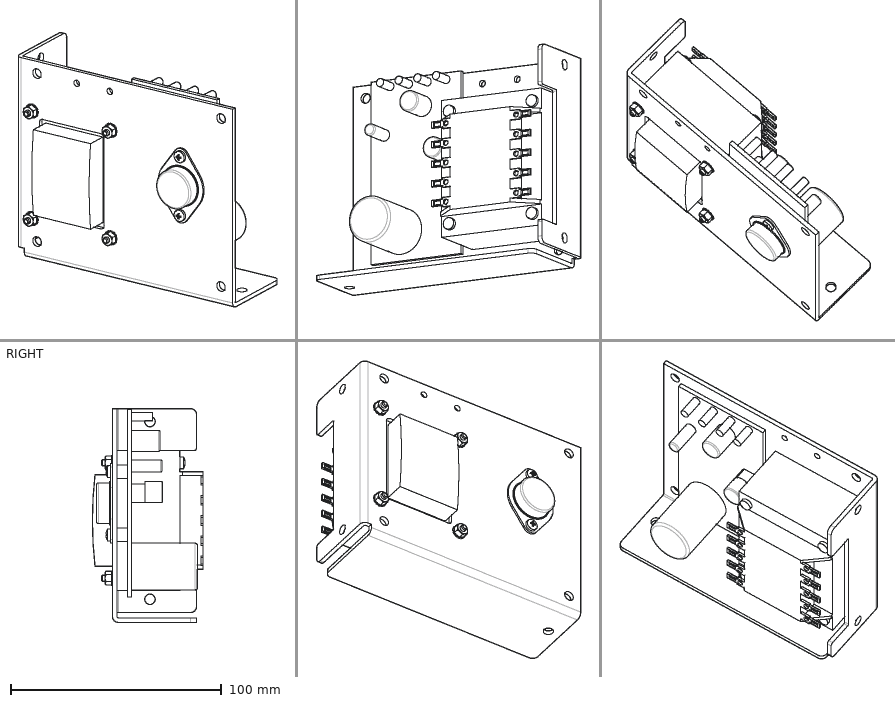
import cadquery as cq
import math


WIDTH = 123.8
HEIGHT = 101.5
FLANGE_DEPTH = 40.0
SHEET = 2.2
BEND_OUTER_RADIUS = 2.8
BEND_INNER_RADIUS = BEND_OUTER_RADIUS - SHEET
CORNER_RELIEF = 4.7
FLANGE_CORNER_RADIUS = 3.0
MOUNT_HOLE = 4.8
MOUNT_HOLE_LEFT_X = 12.0
MOUNT_HOLE_RIGHT_X = 117.1
MOUNT_HOLE_LOW_Z = 9.8
MOUNT_HOLE_HIGH_Z = 95.3
FLANGE_HOLE_Y = 17.8
SIDE_HOLE_LOW_Z = 11.0
SMALL_HOLE = 3.1
SMALL_HOLE_XS = (34.7, 53.6)
SIDE_NOTCH_LOW_Z = 16.0
SIDE_NOTCH_HIGH_Z = 81.6
SIDE_NOTCH_FLOOR_Y = 25.6
SIDE_NOTCH_FLOOR_RADIUS = 0.6
SIDE_NOTCH_MOUTH_RADIUS = 1.2

TRANSFORMER_X = 31.8
TRANSFORMER_Z = 48.4
CORE_WIDTH = 54.2
CORE_HEIGHT = 66.6
CORE_BACK_Y = 32.1
WINDING_WIDTH = 32.7
WINDING_HEIGHT = 43.6
WINDING_SIDE_FRONT_Y = -8.3
WINDING_CROWN_FRONT_Y = -9.5
BOBBIN_BACK_Y = 43.1
BOBBIN_SHOULDER_Y = 33.3
BOBBIN_HEIGHT = 46.4
BOBBIN_FLANGE = 2.0
WINDOW_WIDTH = 37.0
WINDOW_HEIGHT = 48.5
WINDOW_RADIUS = 2.0

TAG_COUNT = 5
TAG_PITCH = 9.5
TAG_THICKNESS = 1.1
TAG_ROOT_WIDTH = 4.6
TAG_TIP_WIDTH = 3.0
TAG_TIP_LENGTH = 6.0
TAG_LEFT_END_X = 4.7
TAG_RIGHT_END_X = 58.3
TAG_ROOT_HOLE = 2.5
TAG_ROOT_HOLE_OFFSET = 1.7
TAG_SLOT_LENGTH = 3.7
TAG_SLOT_WIDTH = 2.0

SCREW_PITCH_X = 45.1
SCREW_PITCH_Z = 54.7
SCREW_DIAMETER = 3.0
SCREW_CLEARANCE = 3.3
SCREW_END_Y = -5.2
SCREW_END_CHAMFER = 0.5
HEAD_DIAMETER = 5.7
HEAD_HEIGHT = 2.5
HEAD_DOME_HEIGHT = 0.9
WASHER_DISC = 6.3
WASHER_OUTSIDE = 6.9
WASHER_THICKNESS = 0.5
WASHER_TEETH = 12
TOOTH_WIDTH = 0.9
NUT_FLATS = 5.7
NUT_CORNERS = NUT_FLATS / math.cos(math.pi / 6)
NUT_THICKNESS = 3.0
NUT_CHAMFER = 0.5

TRANSISTOR_X = 94.7
TRANSISTOR_Z = 56.6
TRANSISTOR_SCREW_PITCH = 30.0
TRANSISTOR_BASE_RADIUS = 12.8
TRANSISTOR_LUG_RADIUS = 4.0
TRANSISTOR_BASE_THICKNESS = 1.0
CAN_DIAMETER = 19.5
CAN_FRONT_Y = -7.4
CAN_ROUNDING = 0.7
CAN_RIM_DIAMETER = 20.4
CAN_RIM_FRONT_Y = -1.5
TRANSISTOR_HEAD_HEIGHT = 2.1
RECESS_LENGTH = 2.7
RECESS_WIDTH = 0.6
RECESS_DEPTH = 0.9

BOARD_LEFT_X = 61.3
BOARD_RIGHT_X = 110.2
BOARD_TOP_Z = 101.0
BOARD_BOTTOM_Z = 2 * TRANSISTOR_Z - BOARD_TOP_Z
BOARD_FRONT_Y = 7.0
BOARD_BACK_Y = 9.2
SPACER_DIAMETER = 6.3
PIN_DIAMETER = 4.0
PIN_COUNT = 4
PIN_FIRST_X = 69.3
PIN_PITCH = 10.2
PIN_Z = 97.7
PIN_BACK_Y = 19.1
LARGE_CAPACITOR_DIAMETER = 22.3
LARGE_CAPACITOR_X = 93.9
LARGE_CAPACITOR_Z = 26.5
LARGE_CAPACITOR_BACK_Y = 40.4
LARGE_CAPACITOR_ROUNDING = 1.1
MEDIUM_CAPACITOR_DIAMETER = 10.0
MEDIUM_CAPACITOR_X = 82.3
MEDIUM_CAPACITOR_Z = 86.2
MEDIUM_CAPACITOR_BACK_Y = 22.5
SMALL_CAPACITOR_DIAMETER = 5.7
SMALL_CAPACITOR_X = 103.0
SMALL_CAPACITOR_Z = 74.3
SMALL_CAPACITOR_BACK_Y = 23.5
CAPACITOR_ROUNDING = 0.6
TRIMMER_DIAMETER = 10.0
TRIMMER_X = 68.8
TRIMMER_Z = 61.9
TRIMMER_BACK_Y = 23.8
TRIMMER_ROUNDING = 0.5
TRIMMER_BASE_DIAMETER = 9.9
TRIMMER_FLAT_WIDTH = 6.3
TRIMMER_BASE_BACK_Y = 15.5


def box(x0, x1, y0, y1, z0, z1):
    """A box between two x, two y and two z positions."""
    return cq.Workplane("XY").box(x1 - x0, y1 - y0, z1 - z0, centered=False).translate((x0, y0, z0))


def plate_plane(y):
    """A workplane parallel to the plate; its x and y are X and Z, and a negative extrusion goes to +Y."""
    return cq.Workplane("XZ", origin=(0, y, 0))


def rods(points, diameter, front_y, back_y):
    """Cylinders along Y at (x, z) points."""
    return plate_plane(front_y).pushPoints(points).circle(diameter / 2).extrude(front_y - back_y)


def domed_head(height):
    """A round screw head standing along +Y from the origin, ending in a dome."""
    radius = HEAD_DIAMETER / 2
    shoulder = height - HEAD_DOME_HEIGHT
    dome_radius = (radius**2 + HEAD_DOME_HEIGHT**2) / (2 * HEAD_DOME_HEIGHT)
    return (
        cq.Workplane("XY")
        .lineTo(radius, 0)
        .lineTo(radius, shoulder)
        .radiusArc((0, height), -dome_radius)
        .close()
        .revolve(360, (0, 0, 0), (0, 1, 0))
    )


def screw_grid(centre_x, centre_z, pitch_x, pitch_z):
    """The four (x, z) corners of a rectangle."""
    return [
        (centre_x + side * pitch_x / 2, centre_z + level * pitch_z / 2)
        for side in (-1, 1)
        for level in (-1, 1)
    ]


TRANSFORMER_SCREWS = screw_grid(TRANSFORMER_X, TRANSFORMER_Z, SCREW_PITCH_X, SCREW_PITCH_Z)
TRANSISTOR_SCREWS = [
    (TRANSISTOR_X, TRANSISTOR_Z + side * TRANSISTOR_SCREW_PITCH / 2) for side in (-1, 1)
]




def bent_sheet(plane, plate_end, length):
    """A plate bent into a flange along +Y; the plane's x runs along the plate and its y is Y."""
    return (
        cq.Workplane(plane)
        .moveTo(plate_end, 0)
        .lineTo(BEND_OUTER_RADIUS, 0)
        .radiusArc((0, BEND_OUTER_RADIUS), BEND_OUTER_RADIUS)
        .lineTo(0, FLANGE_DEPTH)
        .lineTo(SHEET, FLANGE_DEPTH)
        .lineTo(SHEET, BEND_OUTER_RADIUS)
        .radiusArc((BEND_OUTER_RADIUS, SHEET), -BEND_INNER_RADIUS)
        .lineTo(plate_end, SHEET)
        .close()
        .extrude(length)
    )


def side_flange_sheet():
    """The plate with its left flange, which is notched from the back beside the transformer."""
    sheet = bent_sheet(cq.Plane((0, 0, CORNER_RELIEF), (1, 0, 0), (0, 0, 1)), WIDTH, HEIGHT - CORNER_RELIEF)
    notch = box(0, BEND_OUTER_RADIUS, SIDE_NOTCH_FLOOR_Y, FLANGE_DEPTH, SIDE_NOTCH_LOW_Z, SIDE_NOTCH_HIGH_Z)
    sheet = sheet.cut(notch.edges("|X and <Y").fillet(SIDE_NOTCH_FLOOR_RADIUS))
    sheet = sheet.edges("|X and >Y").edges("not(<Z or >Z)").fillet(SIDE_NOTCH_MOUTH_RADIUS)
    sheet = sheet.edges("|X and >Y").edges("<Z or >Z").fillet(FLANGE_CORNER_RADIUS)
    for z in (SIDE_HOLE_LOW_Z, MOUNT_HOLE_HIGH_Z):
        hole = cq.Workplane("YZ").center(FLANGE_HOLE_Y, z).circle(MOUNT_HOLE / 2).extrude(SHEET)
        sheet = sheet.cut(hole)
    return sheet


def bottom_flange_sheet():
    """The plate with its bottom flange."""
    sheet = bent_sheet(cq.Plane((WIDTH, 0, 0), (0, 0, 1), (-1, 0, 0)), HEIGHT, WIDTH - CORNER_RELIEF)
    sheet = sheet.edges("|Z and >Y").fillet(FLANGE_CORNER_RADIUS)
    hole = cq.Workplane("XY").center(MOUNT_HOLE_RIGHT_X, FLANGE_HOLE_Y).circle(MOUNT_HOLE / 2).extrude(SHEET)
    return sheet.cut(hole)


def winding_window():
    window = box(
        TRANSFORMER_X - WINDOW_WIDTH / 2,
        TRANSFORMER_X + WINDOW_WIDTH / 2,
        0,
        SHEET,
        TRANSFORMER_Z - WINDOW_HEIGHT / 2,
        TRANSFORMER_Z + WINDOW_HEIGHT / 2,
    )
    return window.edges("|Y").fillet(WINDOW_RADIUS)


def sheet_metal():
    """Both bent sheets share one plate, less a square relief where the two bends would meet."""
    mount_holes = [
        (x, z) for x in (MOUNT_HOLE_LEFT_X, MOUNT_HOLE_RIGHT_X) for z in (MOUNT_HOLE_LOW_Z, MOUNT_HOLE_HIGH_Z)
    ]
    small_holes = [(x, MOUNT_HOLE_HIGH_Z) for x in SMALL_HOLE_XS]
    return (
        side_flange_sheet()
        .union(bottom_flange_sheet())
        .cut(rods(mount_holes, MOUNT_HOLE, 0, SHEET))
        .cut(rods(small_holes, SMALL_HOLE, 0, SHEET))
        .cut(rods(TRANSFORMER_SCREWS, SCREW_CLEARANCE, 0, SHEET))
        .cut(winding_window())
    )


def transistor_base():
    """A round base drawn out to a lug at each screw, with sides tangent to both rounds."""
    reach = TRANSISTOR_SCREW_PITCH / 2
    sine = (TRANSISTOR_BASE_RADIUS - TRANSISTOR_LUG_RADIUS) / reach
    cosine = math.sqrt(1 - sine**2)
    base_x, base_z = TRANSISTOR_BASE_RADIUS * cosine, TRANSISTOR_BASE_RADIUS * sine
    lug_x, lug_z = TRANSISTOR_LUG_RADIUS * cosine, reach + TRANSISTOR_LUG_RADIUS * sine
    lug_tip = reach + TRANSISTOR_LUG_RADIUS
    return (
        cq.Workplane("XZ", origin=(TRANSISTOR_X, 0, TRANSISTOR_Z))
        .moveTo(base_x, -base_z)
        .threePointArc((TRANSISTOR_BASE_RADIUS, 0), (base_x, base_z))
        .lineTo(lug_x, lug_z)
        .threePointArc((0, lug_tip), (-lug_x, lug_z))
        .lineTo(-base_x, base_z)
        .threePointArc((-TRANSISTOR_BASE_RADIUS, 0), (-base_x, -base_z))
        .lineTo(-lug_x, -lug_z)
        .threePointArc((0, -lug_tip), (lug_x, -lug_z))
        .close()
        .extrude(TRANSISTOR_BASE_THICKNESS)
    )


def transistor_screw_head():
    """A domed head with a cross recess, facing forward from the transistor's base."""
    head = domed_head(TRANSISTOR_HEAD_HEIGHT).rotate((0, 0, 0), (0, 0, 1), 180)
    recess_plane = plate_plane(-TRANSISTOR_HEAD_HEIGHT)
    for size in ((RECESS_LENGTH, RECESS_WIDTH), (RECESS_WIDTH, RECESS_LENGTH)):
        head = head.cut(recess_plane.rect(*size).extrude(-RECESS_DEPTH))
    return head


def transistor():
    centre = [(TRANSISTOR_X, TRANSISTOR_Z)]
    can = rods(centre, CAN_DIAMETER, CAN_FRONT_Y, 0).faces("<Y").edges().fillet(CAN_ROUNDING)
    rim = rods(centre, CAN_RIM_DIAMETER, CAN_RIM_FRONT_Y, 0)
    body = transistor_base().union(rim).union(can)
    for x, z in TRANSISTOR_SCREWS:
        body = body.union(transistor_screw_head().translate((x, -TRANSISTOR_BASE_THICKNESS, z)))
    return body


def board_component(x, z, diameter, back_y, rounding):
    """An upright cylinder on the board with a rounded end."""
    return rods([(x, z)], diameter, BOARD_BACK_Y, back_y).faces(">Y").edges().fillet(rounding)


def trimmer():
    """A round trimmer on a slightly narrower base, which has a flat on its upper side."""
    radius = TRIMMER_BASE_DIAMETER / 2
    flat_height = math.sqrt(radius**2 - (TRIMMER_FLAT_WIDTH / 2) ** 2)
    base = rods([(TRIMMER_X, TRIMMER_Z)], TRIMMER_BASE_DIAMETER, BOARD_BACK_Y, TRIMMER_BASE_BACK_Y)
    above_flat = box(
        TRIMMER_X - radius,
        TRIMMER_X + radius,
        BOARD_BACK_Y,
        TRIMMER_BASE_BACK_Y,
        TRIMMER_Z + flat_height,
        TRIMMER_Z + radius,
    )
    top = rods([(TRIMMER_X, TRIMMER_Z)], TRIMMER_DIAMETER, TRIMMER_BASE_BACK_Y, TRIMMER_BACK_Y)
    return base.cut(above_flat).union(top.faces(">Y").edges().fillet(TRIMMER_ROUNDING))


def circuit_board():
    """The board on two spacers behind the transistor's screws, with its pins and components."""
    board = box(BOARD_LEFT_X, BOARD_RIGHT_X, BOARD_FRONT_Y, BOARD_BACK_Y, BOARD_BOTTOM_Z, BOARD_TOP_Z)
    pins = [(PIN_FIRST_X + i * PIN_PITCH, PIN_Z) for i in range(PIN_COUNT)]
    large_capacitor = board_component(
        LARGE_CAPACITOR_X,
        LARGE_CAPACITOR_Z,
        LARGE_CAPACITOR_DIAMETER,
        LARGE_CAPACITOR_BACK_Y,
        LARGE_CAPACITOR_ROUNDING,
    )
    medium_capacitor = board_component(
        MEDIUM_CAPACITOR_X,
        MEDIUM_CAPACITOR_Z,
        MEDIUM_CAPACITOR_DIAMETER,
        MEDIUM_CAPACITOR_BACK_Y,
        CAPACITOR_ROUNDING,
    )
    small_capacitor = board_component(
        SMALL_CAPACITOR_X,
        SMALL_CAPACITOR_Z,
        SMALL_CAPACITOR_DIAMETER,
        SMALL_CAPACITOR_BACK_Y,
        CAPACITOR_ROUNDING,
    )
    return (
        board.union(rods(TRANSISTOR_SCREWS, SPACER_DIAMETER, SHEET, BOARD_FRONT_Y))
        .union(rods(pins, PIN_DIAMETER, BOARD_BACK_Y, PIN_BACK_Y))
        .union(large_capacitor)
        .union(medium_capacitor)
        .union(small_capacitor)
        .union(trimmer())
    )


def make_chassis():
    """The bent plate with the transistor on its front and the circuit board behind it."""
    return sheet_metal().union(transistor()).union(circuit_board())




def core():
    return box(
        TRANSFORMER_X - CORE_WIDTH / 2,
        TRANSFORMER_X + CORE_WIDTH / 2,
        SHEET,
        CORE_BACK_Y,
        TRANSFORMER_Z - CORE_HEIGHT / 2,
        TRANSFORMER_Z + CORE_HEIGHT / 2,
    )


def winding():
    """The wound block through the core; its front end is crowned to an arc."""
    half_height = WINDING_HEIGHT / 2
    return (
        cq.Workplane("YZ", origin=(TRANSFORMER_X - WINDING_WIDTH / 2, 0, TRANSFORMER_Z))
        .moveTo(BOBBIN_BACK_Y, -half_height)
        .lineTo(WINDING_SIDE_FRONT_Y, -half_height)
        .threePointArc((WINDING_CROWN_FRONT_Y, 0), (WINDING_SIDE_FRONT_Y, half_height))
        .lineTo(BOBBIN_BACK_Y, half_height)
        .close()
        .extrude(WINDING_WIDTH)
    )


def bobbin_flanges():
    """The two end flanges of the bobbin behind the core, with sides sloping in to the winding's width."""
    flange = (
        cq.Workplane("XY", origin=(TRANSFORMER_X, 0, 0))
        .moveTo(-CORE_WIDTH / 2, CORE_BACK_Y)
        .lineTo(-CORE_WIDTH / 2, BOBBIN_SHOULDER_Y)
        .lineTo(-WINDING_WIDTH / 2, BOBBIN_BACK_Y)
        .lineTo(WINDING_WIDTH / 2, BOBBIN_BACK_Y)
        .lineTo(CORE_WIDTH / 2, BOBBIN_SHOULDER_Y)
        .lineTo(CORE_WIDTH / 2, CORE_BACK_Y)
        .close()
        .extrude(BOBBIN_FLANGE)
    )
    low_z = TRANSFORMER_Z - BOBBIN_HEIGHT / 2
    high_z = TRANSFORMER_Z + BOBBIN_HEIGHT / 2 - BOBBIN_FLANGE
    return flange.translate((0, 0, low_z)).union(flange.translate((0, 0, high_z)))


def solder_tag(end_x, side, z):
    """A flat tag flush with the bobbin's back: a wide root with a round hole, a narrow slotted tip."""
    root_x = TRANSFORMER_X + side * WINDING_WIDTH / 2
    step_x = end_x - side * TAG_TIP_LENGTH
    front_y = BOBBIN_BACK_Y - TAG_THICKNESS
    root_plane = plate_plane(front_y).center((root_x + step_x) / 2, z)
    root = root_plane.rect(abs(step_x - root_x), TAG_ROOT_WIDTH).extrude(-TAG_THICKNESS)
    tip_plane = plate_plane(front_y).center((step_x + end_x) / 2, z)
    tip = tip_plane.rect(TAG_TIP_LENGTH, TAG_TIP_WIDTH).extrude(-TAG_THICKNESS)
    slot = tip_plane.rect(TAG_SLOT_LENGTH, TAG_SLOT_WIDTH).extrude(-TAG_THICKNESS)
    hole_x = step_x - side * TAG_ROOT_HOLE_OFFSET
    hole = rods([(hole_x, z)], TAG_ROOT_HOLE, front_y, BOBBIN_BACK_Y)
    return root.union(tip).cut(slot).cut(hole)


def toothed_washers():
    washers = rods(TRANSFORMER_SCREWS, WASHER_DISC, -WASHER_THICKNESS, 0)
    tooth = cq.Workplane("XZ").rect(WASHER_OUTSIDE, TOOTH_WIDTH).extrude(WASHER_THICKNESS)
    for x, z in TRANSFORMER_SCREWS:
        for i in range(WASHER_TEETH // 2):
            turned = tooth.rotate((0, 0, 0), (0, 1, 0), i * 360 / WASHER_TEETH)
            washers = washers.union(turned.translate((x, 0, z)))
    return washers


def nuts():
    """Hexagon nuts with a corner pointing up and corners chamfered at the front."""
    front_y = -WASHER_THICKNESS - NUT_THICKNESS
    rounds = rods(TRANSFORMER_SCREWS, NUT_CORNERS, front_y, -WASHER_THICKNESS)
    rounds = rounds.faces("<Y").edges().chamfer(NUT_CHAMFER)
    hexagon = cq.Workplane("XZ").polygon(6, NUT_CORNERS).extrude(NUT_THICKNESS)
    corner_up = 30
    hexagon = hexagon.rotate((0, 0, 0), (0, 1, 0), corner_up)
    hexagons = cq.Workplane("XZ")
    for x, z in TRANSFORMER_SCREWS:
        hexagons = hexagons.add(hexagon.translate((x, -WASHER_THICKNESS, z)))
    return hexagons.combine().intersect(rounds)


def screws():
    """The screws through core and plate: domed heads behind the core, chamfered ends in front."""
    shanks = rods(TRANSFORMER_SCREWS, SCREW_DIAMETER, SCREW_END_Y, CORE_BACK_Y)
    shanks = shanks.faces("<Y").edges().chamfer(SCREW_END_CHAMFER)
    head = domed_head(HEAD_HEIGHT)
    for x, z in TRANSFORMER_SCREWS:
        shanks = shanks.union(head.translate((x, CORE_BACK_Y, z)))
    return shanks


def make_transformer():
    """The core, bobbin and winding with the screws that clamp them to the plate."""
    body = core().union(winding()).union(bobbin_flanges())
    for i in range(TAG_COUNT):
        z = TRANSFORMER_Z + (i - (TAG_COUNT - 1) / 2) * TAG_PITCH
        body = body.union(solder_tag(TAG_LEFT_END_X, -1, z))
        body = body.union(solder_tag(TAG_RIGHT_END_X, 1, z))
    return body.union(screws()).union(toothed_washers()).union(nuts())


chassis = make_chassis()
transformer = make_transformer()

result = cq.Compound.makeCompound([chassis.val(), transformer.val()])